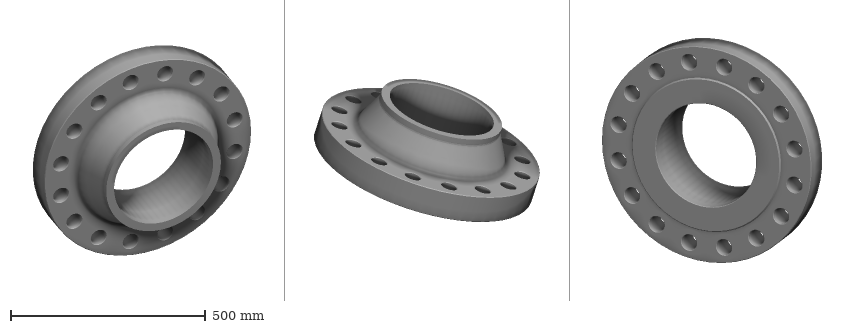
import cadquery as cq
import math

total_length = 175.0
raised_face_height = 4.0
flange_thickness = 74.0
neck_end_length = 17.5

flange_diameter = 585.0
raised_face_base_diameter = 416.5
raised_face_top_diameter = 409.5
neck_root_diameter = 401.5
neck_end_diameter = 324.0
bore_diameter = 279.5

bolt_count = 16
bolt_circle_diameter = 500.0
bolt_hole_diameter = 42.0

rim_chamfer = 2.0
bolt_hole_chamfer = 2.0
bore_chamfer = 2.0
neck_root_fillet = 11.5
neck_end_fillet = 8.0

flange_back = raised_face_height + flange_thickness
neck_end_start = total_length - neck_end_length
flange_radius = flange_diameter / 2
neck_root_radius = neck_root_diameter / 2
neck_end_radius = neck_end_diameter / 2
bore_radius = bore_diameter / 2


def circle_at(x, radius):
    """Select the circular edge around the X axis through the given profile point."""
    margin = 0.3
    return cq.selectors.BoxSelector(
        (x - margin, -radius - margin, -radius - margin),
        (x + margin, radius + margin, radius + margin),
        boundingbox=True,
    )


def make_body():
    """Revolve the flange, raised face and tapered welding neck about X."""
    profile = (
        cq.Workplane("XY")
        .moveTo(bore_chamfer, bore_radius)
        .lineTo(0, bore_radius + bore_chamfer)
        .lineTo(0, raised_face_top_diameter / 2)
        .lineTo(raised_face_height, raised_face_base_diameter / 2)
        .lineTo(raised_face_height, flange_radius - rim_chamfer)
        .lineTo(raised_face_height + rim_chamfer, flange_radius)
        .lineTo(flange_back - rim_chamfer, flange_radius)
        .lineTo(flange_back, flange_radius - rim_chamfer)
        .lineTo(flange_back, neck_root_radius)
        .lineTo(neck_end_start, neck_end_radius)
        .lineTo(total_length, neck_end_radius)
        .lineTo(total_length, bore_radius)
        .close()
    )
    body = profile.revolve(360, (0, 0, 0), (1, 0, 0))
    body = body.edges(circle_at(flange_back, neck_root_radius)).fillet(neck_root_fillet)
    return body.edges(circle_at(neck_end_start, neck_end_radius)).fillet(neck_end_fillet)


def make_bolt_hole_cutter():
    """Revolve one bolt hole, chamfered at both flange faces, about its own axis along X."""
    hole_radius = bolt_hole_diameter / 2
    mouth_radius = hole_radius + bolt_hole_chamfer
    return (
        cq.Workplane("XY")
        .moveTo(raised_face_height, 0)
        .lineTo(raised_face_height, mouth_radius)
        .lineTo(raised_face_height + bolt_hole_chamfer, hole_radius)
        .lineTo(flange_back - bolt_hole_chamfer, hole_radius)
        .lineTo(flange_back, mouth_radius)
        .lineTo(flange_back, 0)
        .close()
        .revolve(360, (0, 0, 0), (1, 0, 0))
    )


def cut_bolt_holes(body):
    """Cut the ring of bolt holes through the flange."""
    cutter = make_bolt_hole_cutter()
    bolt_circle_radius = bolt_circle_diameter / 2
    for index in range(bolt_count):
        angle = 2 * math.pi * (index + 0.5) / bolt_count
        y = bolt_circle_radius * math.cos(angle)
        z = bolt_circle_radius * math.sin(angle)
        body = body.cut(cutter.translate((0, y, z)))
    return body


result = cut_bolt_holes(make_body())